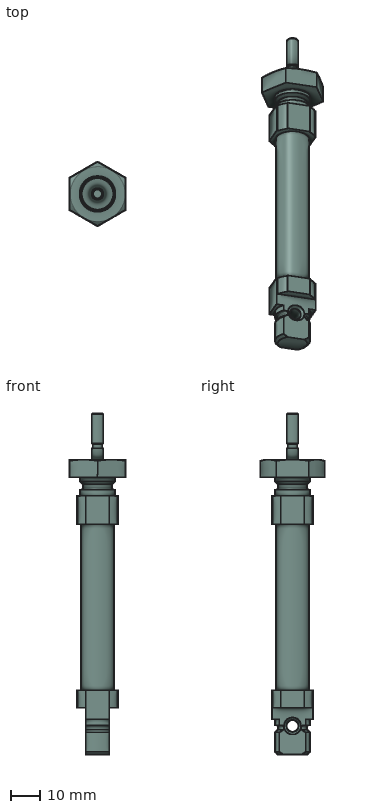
import cadquery as cq
import math

total_length = 116.0
rear_groove_bottom = 7.5
rear_groove_top = 10.0
rear_flat_bottom = 12.0
shoulder_level = 15.9
rear_block_top = 21.9
front_block_bottom = 78.2
front_block_top = 87.9
front_groove_bottom = 90.0
front_groove_top = 92.8
nut_thickness = 6.0
nose_top = 100.2
nut_bottom = nose_top - nut_thickness

tube_diameter = 11.3
thread_diameter = 12.0
groove_diameter = 10.0
nut_seat_diameter = 11.3
nose_tip_diameter = 10.7
block_width = 14.0
block_corner_diameter = 15.5
tongue_thickness = 8.0
rear_chamfer = (thread_diameter - groove_diameter) / 2
groove_fillet = 0.6
nose_chamfer = (nut_seat_diameter - nose_tip_diameter) / 2

pivot_level = 9.7
pivot_diameter = 4.0
pivot_countersink = 0.9

nut_width = 19.0
nut_face_diameter = 18.7
nut_corner_diameter = nut_width / math.cos(math.pi / 6)
nut_corner_drop = 0.5
nut_countersink = 0.5

rod_diameter = 4.0
rod_relief_diameter = 3.2
rod_relief_fillet = 0.2
rod_tip_chamfer = 0.5
rod_bottom = front_block_bottom
rod_relief_bottom = 104.0
rod_relief_top = 105.8
rod_relief_taper = (rod_diameter - rod_relief_diameter) / 2


def cylinder(diameter, bottom, top):
    return cq.Workplane("XY").workplane(offset=bottom).circle(diameter / 2).extrude(top - bottom)


def revolve_profile(profile):
    return profile.close().revolve(360, (0, 0, 0), (0, 1, 0))


def flatted_block(bottom, top):
    """Round block with four raised flats, each as wide as the tongue is thick."""
    height = top - bottom
    base = cq.Workplane("XY").workplane(offset=bottom)
    square = base.rect(block_width, block_width).extrude(height)
    block = square.intersect(cylinder(block_corner_diameter, bottom, top))
    block = block.union(base.rect(tongue_thickness, block_width).extrude(height))
    return block.union(base.rect(block_width, tongue_thickness).extrude(height))


def rear_stud():
    """Threaded rear stud with its end chamfer and a relief groove."""
    thread_radius = thread_diameter / 2
    groove_radius = groove_diameter / 2
    taper = thread_radius - groove_radius
    return revolve_profile(
        cq.Workplane("XZ")
        .lineTo(thread_radius - rear_chamfer, 0)
        .lineTo(thread_radius, rear_chamfer)
        .lineTo(thread_radius, rear_groove_bottom)
        .lineTo(groove_radius, rear_groove_bottom + taper)
        .lineTo(groove_radius, rear_groove_top - groove_fillet)
        .radiusArc((groove_radius + groove_fillet, rear_groove_top), groove_fillet)
        .lineTo(thread_radius, rear_groove_top)
        .lineTo(thread_radius, rear_flat_bottom)
        .lineTo(0, rear_flat_bottom)
    )


def front_nose():
    """Threaded nose with a relief groove, stepped down where it carries the nut."""
    seat_radius = nut_seat_diameter / 2
    thread_radius = thread_diameter / 2
    groove_radius = groove_diameter / 2
    taper = thread_radius - groove_radius
    return revolve_profile(
        cq.Workplane("XZ")
        .moveTo(0, front_block_top)
        .lineTo(thread_radius, front_block_top)
        .lineTo(thread_radius, front_groove_bottom)
        .lineTo(groove_radius + groove_fillet, front_groove_bottom)
        .radiusArc((groove_radius, front_groove_bottom + groove_fillet), groove_fillet)
        .lineTo(groove_radius, front_groove_top - taper)
        .lineTo(thread_radius, front_groove_top)
        .lineTo(thread_radius, nut_bottom)
        .lineTo(seat_radius, nut_bottom)
        .lineTo(seat_radius, nose_top - nose_chamfer)
        .lineTo(seat_radius - nose_chamfer, nose_top)
        .lineTo(0, nose_top)
    )


def cut_tongue(body):
    """Remove both sides below the shoulder, leaving a flat tongue."""
    side_depth = (block_corner_diameter - tongue_thickness) / 2
    side_center = (block_corner_diameter + tongue_thickness) / 4
    for side in (-1, 1):
        waste = cq.Workplane("XY").center(side * side_center, 0)
        waste = waste.rect(side_depth, block_corner_diameter).extrude(shoulder_level)
        body = body.cut(waste)
    return body


def pivot_cutter():
    """Cross hole along X, countersunk at both tongue faces."""
    half = tongue_thickness / 2
    radius = pivot_diameter / 2
    profile = (
        cq.Workplane("XY")
        .moveTo(-half, 0)
        .lineTo(-half, radius + pivot_countersink)
        .lineTo(-half + pivot_countersink, radius)
        .lineTo(half - pivot_countersink, radius)
        .lineTo(half, radius + pivot_countersink)
        .lineTo(half, 0)
        .close()
    )
    return profile.revolve(360, (0, 0, 0), (1, 0, 0)).translate((0, 0, pivot_level))


def make_housing():
    body = rear_stud()
    body = body.union(flatted_block(rear_flat_bottom, rear_block_top))
    body = body.union(cylinder(tube_diameter, rear_block_top, front_block_bottom))
    body = body.union(flatted_block(front_block_bottom, front_block_top))
    body = body.union(front_nose())
    body = cut_tongue(body).cut(pivot_cutter())
    return body.cut(cylinder(rod_diameter, rod_bottom, nose_top))


def make_nut():
    """Hexagon with corners along Y, its top corners bevelled and its bore countersunk on top."""
    blank = cq.Workplane("XY").polygon(6, nut_corner_diameter).extrude(nut_thickness)
    blank = blank.rotate((0, 0, 0), (0, 0, 1), 30)
    bevel = revolve_profile(
        cq.Workplane("XZ")
        .lineTo(nut_corner_diameter / 2, 0)
        .lineTo(nut_corner_diameter / 2, nut_thickness - nut_corner_drop)
        .lineTo(nut_face_diameter / 2, nut_thickness)
        .lineTo(0, nut_thickness)
    )
    bore_radius = nut_seat_diameter / 2
    bore = revolve_profile(
        cq.Workplane("XZ")
        .lineTo(bore_radius, 0)
        .lineTo(bore_radius, nut_thickness - nut_countersink)
        .lineTo(bore_radius + nut_countersink, nut_thickness)
        .lineTo(0, nut_thickness)
    )
    return blank.intersect(bevel).cut(bore).translate((0, 0, nut_bottom))


def make_rod():
    radius = rod_diameter / 2
    relief_radius = rod_relief_diameter / 2
    return revolve_profile(
        cq.Workplane("XZ")
        .moveTo(0, rod_bottom)
        .lineTo(radius, rod_bottom)
        .lineTo(radius, rod_relief_bottom)
        .lineTo(relief_radius + rod_relief_fillet, rod_relief_bottom)
        .radiusArc((relief_radius, rod_relief_bottom + rod_relief_fillet), rod_relief_fillet)
        .lineTo(relief_radius, rod_relief_top - rod_relief_taper)
        .lineTo(radius, rod_relief_top)
        .lineTo(radius, total_length - rod_tip_chamfer)
        .lineTo(radius - rod_tip_chamfer, total_length)
        .lineTo(0, total_length)
    )


housing = make_housing()
nut = make_nut()
rod = make_rod()

result = cq.Compound.makeCompound([housing.val(), nut.val(), rod.val()])